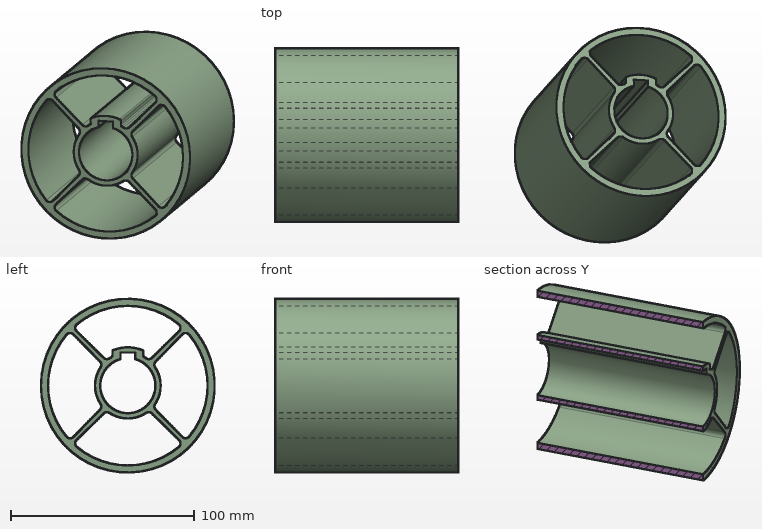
import cadquery as cq
import math

length = 100.0
outer_radius = 47.5
rim_thickness = 4.0
bore_radius = 15.0
wall_thickness = 3.0
spoke_count = 4
spoke_width_inner = 3.0
spoke_width_outer = 2.5
corner_radius = 2.5
key_width = 8.0
key_top = 18.0
boss_width = 17.0
boss_corner_radius = 1.0

rim_inner_radius = outer_radius - rim_thickness
hub_radius = bore_radius + wall_thickness
boss_radius = key_top + wall_thickness


def cylinder(radius):
    return cq.Workplane("YZ").circle(radius).extrude(length)


def key_block(width, height):
    """Full-length block rising from the axis, centred on the keyway."""
    return cq.Workplane("YZ").center(0, height / 2).rect(width, height).extrude(length)


def spoke(angle):
    """Spoke tapering from the hub to the rim."""
    inner = spoke_width_inner / 2
    outer = spoke_width_outer / 2
    outline = [
        (bore_radius, -inner),
        (hub_radius, -inner),
        (rim_inner_radius, -outer),
        (outer_radius, -outer),
        (outer_radius, outer),
        (rim_inner_radius, outer),
        (hub_radius, inner),
        (bore_radius, inner),
    ]
    blade = cq.Workplane("YZ").polyline(outline).close().extrude(length)
    return blade.rotate((0, 0, 0), (1, 0, 0), angle)


openings = cylinder(rim_inner_radius).cut(cylinder(hub_radius))
spoke_pitch = 360 / spoke_count
for index in range(spoke_count):
    openings = openings.cut(spoke((index + 0.5) * spoke_pitch))
openings = openings.edges("|X").fillet(corner_radius)

body = cylinder(outer_radius).cut(openings)

boss = cylinder(boss_radius).intersect(key_block(boss_width, 2 * boss_radius))
boss = boss.edges("|X").fillet(boss_corner_radius)
body = body.union(boss)

foot_y = boss_width / 2
foot_z = math.sqrt(hub_radius**2 - foot_y**2)
for side in (-1, 1):
    foot = cq.selectors.NearestToPointSelector((length / 2, side * foot_y, foot_z))
    body = body.edges("|X").edges(foot).fillet(boss_corner_radius)

result = body.cut(cylinder(bore_radius)).cut(key_block(key_width, key_top))